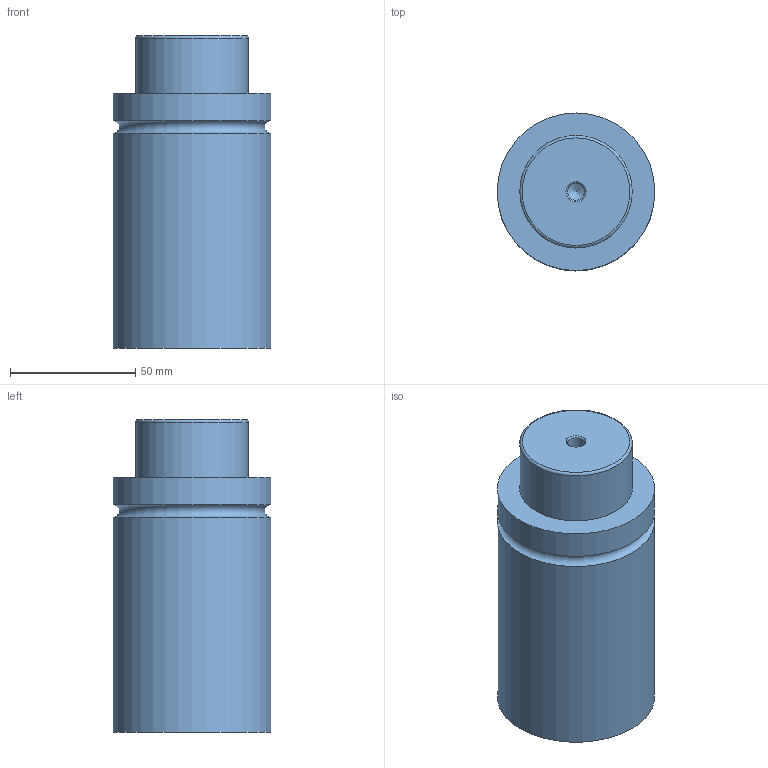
import cadquery as cq
import math

body_diameter = 63.0
spigot_diameter = 45.0

total_height = 125.0
spigot_height = 23.0
flange_height = 11.0

groove_radius = 2.5
spigot_rounding = 1.0

hole_diameter = 6.8
hole_mouth_diameter = 8.0
hole_depth = 20.0
drill_point_angle = 118.0

flange_top = total_height - spigot_height
groove_centre = flange_top - flange_height - groove_radius


def turned_blank():
    """Stepped shaft with a half-round groove below the flange and a rounded top edge."""
    body_radius = body_diameter / 2
    spigot_radius = spigot_diameter / 2
    profile = (
        cq.Workplane("XZ")
        .moveTo(0, 0)
        .lineTo(body_radius, 0)
        .lineTo(body_radius, groove_centre - groove_radius)
        .threePointArc(
            (body_radius - groove_radius, groove_centre),
            (body_radius, groove_centre + groove_radius),
        )
        .lineTo(body_radius, flange_top)
        .lineTo(spigot_radius, flange_top)
        .lineTo(spigot_radius, total_height - spigot_rounding)
        .radiusArc((spigot_radius - spigot_rounding, total_height), -spigot_rounding)
        .lineTo(0, total_height)
        .close()
    )
    return profile.revolve(360, (0, 0, 0), (0, 1, 0))


def centre_hole():
    """Blind drilled hole with a 45 degree countersunk mouth and a conical bottom."""
    hole_radius = hole_diameter / 2
    mouth_radius = hole_mouth_diameter / 2
    mouth_depth = mouth_radius - hole_radius
    point_length = hole_radius / math.tan(math.radians(drill_point_angle / 2))
    shoulder = total_height - hole_depth
    profile = (
        cq.Workplane("XZ")
        .moveTo(0, total_height)
        .lineTo(mouth_radius, total_height)
        .lineTo(hole_radius, total_height - mouth_depth)
        .lineTo(hole_radius, shoulder)
        .lineTo(0, shoulder - point_length)
        .close()
    )
    return profile.revolve(360, (0, 0, 0), (0, 1, 0))


result = turned_blank().cut(centre_hole())